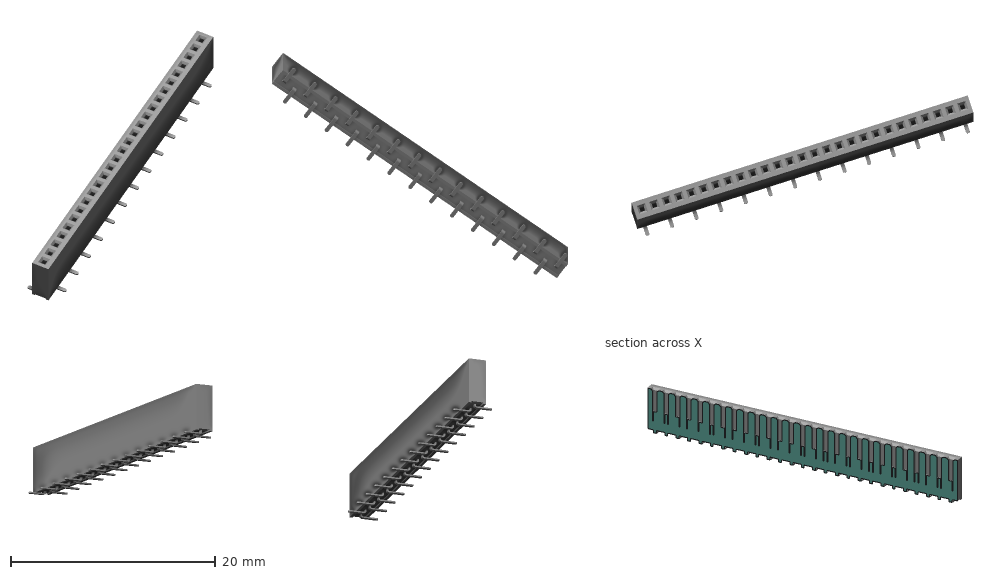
import cadquery as cq

body_length = 34.65
body_width = 1.8
total_height = 4.8

contact_count = 27
end_wall = 0.17
pitch = (body_length - 2 * end_wall) / contact_count
pin_span = 3.57
pin_thickness = 0.15
pin_width = 0.38
pin_tip_radius = 0.155
pin_bend_radius = 0.25
pin_top = 2.42

body_bottom = 0.25
channel_width = 1.2
channel_top = 0.38

funnel_opening = 0.85
hole_size = 0.45
funnel_depth = (funnel_opening - hole_size) / 2
hole_floor = 1.4


def make_body():
    """Bar with a full-length channel along its underside."""
    underside = cq.Workplane("XY").workplane(offset=body_bottom)
    bar = underside.rect(body_width, body_length).extrude(total_height - body_bottom)
    channel = underside.rect(channel_width, body_length).extrude(channel_top - body_bottom)
    return bar.cut(channel)


def make_socket():
    """Square funnel narrowing downwards from the top face into a straight square hole."""
    funnel = (
        cq.Workplane("XY")
        .workplane(offset=total_height)
        .rect(funnel_opening, funnel_opening)
        .workplane(offset=-funnel_depth)
        .rect(hole_size, hole_size)
        .loft(ruled=True)
    )
    hole = cq.Workplane("XY").workplane(offset=hole_floor).rect(hole_size, hole_size)
    return funnel.union(hole.extrude(total_height - funnel_depth - hole_floor))


def make_pin():
    """L-shaped contact: an upright blade in the body, bent into a round-cornered tail toward +X."""
    half_thickness = pin_thickness / 2
    inner_radius = pin_bend_radius - pin_thickness
    bend_end = pin_bend_radius - half_thickness
    tail_end = pin_span / 2
    pin = (
        cq.Workplane("XZ")
        .moveTo(-half_thickness, pin_top)
        .lineTo(-half_thickness, pin_bend_radius)
        .radiusArc((bend_end, 0), -pin_bend_radius)
        .lineTo(tail_end, 0)
        .lineTo(tail_end, pin_thickness)
        .lineTo(bend_end, pin_thickness)
        .radiusArc((half_thickness, pin_bend_radius), inner_radius)
        .lineTo(half_thickness, pin_top)
        .close()
        .extrude(pin_width / 2, both=True)
    )
    return pin.faces(">X").edges("|Z").fillet(pin_tip_radius)


socket = make_socket()
right_pin = make_pin()
left_pin = right_pin.rotate((0, 0, 0), (0, 0, 1), 180)

result = make_body()
first_contact = -(contact_count - 1) / 2 * pitch
for index in range(contact_count):
    contact_place = (0, first_contact + index * pitch, 0)
    pin = left_pin if index % 2 == 0 else right_pin
    result = result.cut(socket.translate(contact_place))
    result = result.union(pin.translate(contact_place))